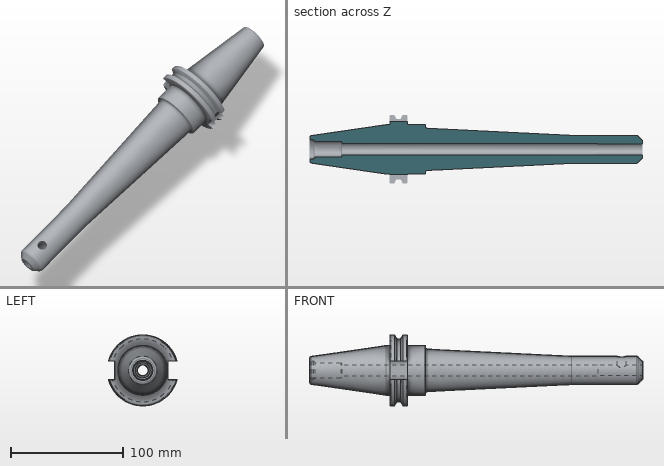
import cadquery as cq
import math


gauge_diameter = 44.45
taper_length = 68.25
taper_ratio = 7 / 24
small_end_radius = (gauge_diameter - taper_length * taper_ratio) / 2
small_end_round = 2.0

flange_diameter = 63.31
flange_start = 3.18
flange_end = 19.05
flange_edge_round = 1.0
groove_center = (flange_start + flange_end) / 2
groove_bottom_diameter = 56.3
groove_bottom_width = 3.6
groove_bottom_round = 0.5
groove_flank_angle = 30

slot_width = 16.44
slot_floor_front = 22.5
slot_floor_back = 25.0

body_end = 35.0
body_edge_chamfer = 0.5
neck_start_diameter = 38.1
neck_fillet = 1.5
nose_diameter = 25.4
nose_length = 63.5
nose_end = 228.6
nose_start = nose_end - nose_length
nose_chamfer = 5.0
nose_edge_round = 2.0
nose_tip_round = 1.0

pilot_diameter = 16.3
pilot_mouth_diameter = 16.8
pilot_depth = 3.5
pilot_mouth_depth = 2.2
pilot_mouth_chamfer = 0.6
pilot_floor_angle = 45
thread_diameter = 13.39
thread_depth = 28.0
drill_point_angle = 59
coolant_diameter = 10.0
tool_bore_diameter = 9.53
tool_bore_depth = 40.0

screw_hole_diameter = 8.38
screw_hole_setback = 19.05


def revolve_profile(points):
    """Turn a closed (x, radius) profile about the X axis."""
    return cq.Workplane("XY").polyline(points).close().revolve(360, (0, 0, 0), (1, 0, 0))


def cylinder(start, end, diameter):
    """Solid cylinder on the X axis."""
    return cq.Workplane("YZ", origin=(start, 0, 0)).circle(diameter / 2).extrude(end - start)


def make_taper():
    gauge_radius = gauge_diameter / 2
    taper = revolve_profile([
        (-taper_length, 0),
        (-taper_length, small_end_radius),
        (0, gauge_radius),
        (flange_start, gauge_radius),
        (flange_start, 0),
    ])
    return taper.faces("<X").edges().fillet(small_end_round)


def make_flange():
    flange = cylinder(flange_start, flange_end, flange_diameter)
    flange = flange.faces("<X or >X").edges().fillet(flange_edge_round)
    bottom_radius = groove_bottom_diameter / 2
    rim_radius = flange_diameter / 2
    half_bottom = groove_bottom_width / 2
    flank_run = (rim_radius - bottom_radius) * math.tan(math.radians(groove_flank_angle))
    half_mouth = half_bottom + flank_run
    groove = revolve_profile([
        (groove_center - half_mouth, rim_radius),
        (groove_center - half_bottom, bottom_radius),
        (groove_center + half_bottom, bottom_radius),
        (groove_center + half_mouth, rim_radius),
    ])
    groove = groove.edges(cq.selectors.RadiusNthSelector(0)).fillet(groove_bottom_round)
    return flange.cut(groove)


def make_drive_slot(side, floor_distance):
    """Box that clears one slot across the flange; side is -1 or +1 along Y."""
    depth = flange_diameter / 2 - floor_distance
    middle = floor_distance + depth / 2
    return (
        cq.Workplane("XY")
        .box(flange_end - flange_start, depth, slot_width)
        .translate((groove_center, side * middle, 0))
    )


def make_body():
    body = cylinder(flange_end, body_end, gauge_diameter)
    return body.faces(">X").edges().chamfer(body_edge_chamfer)


def make_neck_and_nose():
    """Tapered neck with a fillet at its root, then the straight nose."""
    root_radius = neck_start_diameter / 2
    nose_radius = nose_diameter / 2
    neck = (
        cq.Workplane("XY")
        .moveTo(body_end, 0)
        .lineTo(body_end, root_radius + neck_fillet)
        .radiusArc((body_end + neck_fillet, root_radius), -neck_fillet)
        .lineTo(nose_start, nose_radius)
        .lineTo(nose_start, 0)
        .close()
        .revolve(360, (0, 0, 0), (1, 0, 0))
    )
    nose = cylinder(nose_start, nose_end, nose_diameter)
    nose = nose.faces(">X").edges().chamfer(nose_chamfer)
    nose = nose.faces(">X").edges().fillet(nose_tip_round)
    nose = nose.edges(cq.selectors.RadiusNthSelector(-1)).edges(">X").fillet(nose_edge_round)
    return neck.union(nose)


def make_axial_bores():
    """Pilot bore, thread bore with drill point, coolant hole and tool bore."""
    mouth_radius = pilot_mouth_diameter / 2
    pilot_radius = pilot_diameter / 2
    thread_radius = thread_diameter / 2
    coolant_radius = coolant_diameter / 2
    mouth = -taper_length
    point_length = (thread_radius - coolant_radius) / math.tan(math.radians(drill_point_angle))
    floor_length = (pilot_radius - thread_radius) / math.tan(math.radians(pilot_floor_angle))
    thread_end = mouth + thread_depth
    rear_bores = revolve_profile([
        (mouth, 0),
        (mouth, mouth_radius + pilot_mouth_chamfer),
        (mouth + pilot_mouth_chamfer, mouth_radius),
        (mouth + pilot_mouth_depth, mouth_radius),
        (mouth + pilot_mouth_depth, pilot_radius),
        (mouth + pilot_depth, pilot_radius),
        (mouth + pilot_depth + floor_length, thread_radius),
        (thread_end, thread_radius),
        (thread_end + point_length, coolant_radius),
        (nose_end - tool_bore_depth, coolant_radius),
        (nose_end - tool_bore_depth, 0),
    ])
    return rear_bores.union(cylinder(nose_end - tool_bore_depth, nose_end, tool_bore_diameter))


def make_screw_hole():
    """Hole from the +Z side down to the axis of the tool bore."""
    return (
        cq.Workplane("XY", origin=(nose_end - screw_hole_setback, 0, 0))
        .circle(screw_hole_diameter / 2)
        .extrude(nose_diameter / 2)
    )


flange = make_flange()
flange = flange.cut(make_drive_slot(-1, slot_floor_front))
flange = flange.cut(make_drive_slot(1, slot_floor_back))

result = make_taper().union(flange).union(make_body()).union(make_neck_and_nose())
result = result.cut(make_axial_bores()).cut(make_screw_hole())